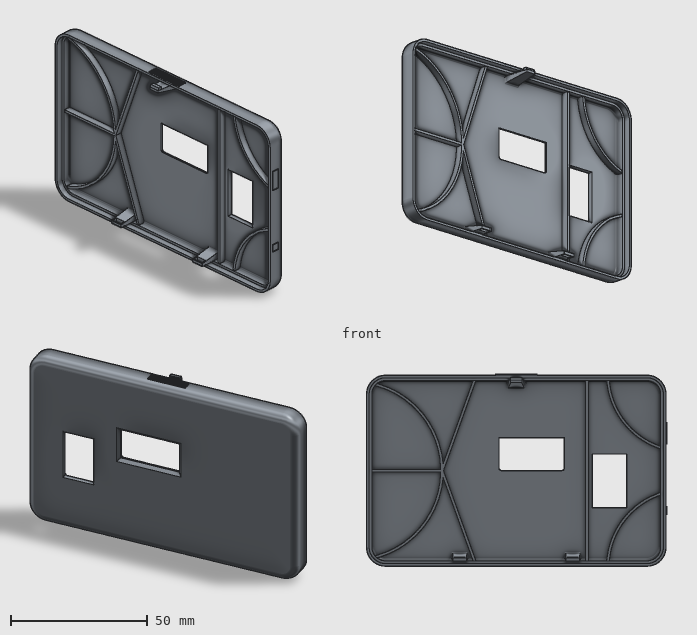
import cadquery as cq
import math


WIDTH = 109.7
HEIGHT = 70.0
DEPTH = 7.6
CORNER_RADIUS = 7.0
BACK_EDGE_RADIUS = 3.0
FLOOR_THICKNESS = 2.0
FLOOR_Y = DEPTH - FLOOR_THICKNESS
MID_FLOOR_Y = DEPTH - FLOOR_THICKNESS / 2
RIM_WALL = 1.0
INNER_WALL = 2.0
LEDGE_Y = 2.5
FLOOR_FILLET = 1.0

RIB_WIDTH = 1.0
RIB_TOP_Y = 2.9
LEFT_ARC_CENTER_X = -59.8
LEFT_ARC_RADIUS = 32.7
APEX_X = LEFT_ARC_CENTER_X + LEFT_ARC_RADIUS
BRANCH_END_X = -15.3
BRANCH_OVERRUN = 1.1
DIVIDER_X = 25.8
RIGHT_ARC_CENTER = (61.8, 35.3)
RIGHT_ARC_RADIUS = 28.4

DISPLAY_SIZE = (23.8, 12.0)
DISPLAY_CENTER = (5.6, 6.0)
DISPLAY_CORNER_RADIUS = 1.0
DISPLAY_LIP = 0.8
SIDE_WINDOW_SIZE = (12.5, 19.6)
SIDE_WINDOW_CENTER = (34.1, -3.7)

LATCH_TOP_Z = 33.1
LATCH_BASE = (5.7, 2.8)
LATCH_TIP = (4.1, 0.9)
LATCH_TIP_Y = -4.6
LATCH_FILLET = 1.0
BARB_HEIGHT = 1.0
BARB_START_Y = -2.9
BARB_BEVEL_DEPTH = 0.4
BARB_BEVEL_HEIGHT = 0.9

HOOK_X = 20.7
HOOK_BOTTOM_Z = -33.1
HOOK_BASE = (5.2, 2.9)
HOOK_TIP = (5.0, 1.2)
HOOK_TIP_Y = -3.1
HOOK_FILLET = 0.4
SLOT_WIDTH = 4.0
SLOT_FRONT_Y = -2.6
SLOT_REAR_Y = -1.0

RELIEF = 0.3
GRIP_LENGTH = 15.2
GRIP_BAR_WIDTH = 0.5
GRIP_PITCH = 1.0
GRIP_COUNT = 4
SIDE_PAD_Y = (1.1, 4.0)
SIDE_PAD_SPANS = ((9.8, 17.7), (-16.1, -13.1))


def front_plane(y):
    """XZ workplane at the given Y; positive extrusion runs toward -Y."""
    return cq.Workplane("XZ", origin=(0, y, 0))


def rounded_block(inset, y_rear, y_front):
    """Tray outline shrunk by an inset and extruded between two Y positions."""
    return (
        front_plane(y_rear)
        .rect(WIDTH - 2 * inset, HEIGHT - 2 * inset)
        .extrude(y_rear - y_front)
        .edges("|Y")
        .fillet(CORNER_RADIUS - inset)
    )


def box_between(x_span, y_span, z_span):
    """Axis-aligned box given by its limits."""
    size = [high - low for low, high in (x_span, y_span, z_span)]
    corner = cq.Vector(x_span[0], y_span[0], z_span[0])
    return cq.Workplane(cq.Solid.makeBox(*size, corner))


def make_tray():
    shell = rounded_block(0, DEPTH, 0).faces(">Y").edges().fillet(BACK_EDGE_RADIUS)
    cavity = rounded_block(INNER_WALL, FLOOR_Y, 0).faces(">Y").edges().fillet(FLOOR_FILLET)
    return shell.cut(cavity).cut(rounded_block(RIM_WALL, LEDGE_Y, 0))


def straight_rib(start, end):
    """Rib along a line between two (X, Z) points, rooted inside the floor."""
    dx = end[0] - start[0]
    dz = end[1] - start[1]
    middle = ((start[0] + end[0]) / 2, (start[1] + end[1]) / 2)
    return (
        front_plane(MID_FLOOR_Y)
        .center(*middle)
        .transformed(rotate=(0, 0, math.degrees(math.atan2(dz, dx))))
        .rect(math.hypot(dx, dz), RIB_WIDTH)
        .extrude(MID_FLOOR_Y - RIB_TOP_Y)
    )


def ring_rib(center, radius):
    """Full circular rib about an (X, Z) center, rooted inside the floor."""
    return (
        front_plane(MID_FLOOR_Y)
        .center(*center)
        .circle(radius + RIB_WIDTH / 2)
        .circle(radius - RIB_WIDTH / 2)
        .extrude(MID_FLOOR_Y - RIB_TOP_Y)
    )


def make_ribs():
    """All ribs, trimmed where they run into the tray wall."""
    wall_x = WIDTH / 2 - RIM_WALL
    wall_z = HEIGHT / 2 - INNER_WALL
    apex = (APEX_X, 0)
    ribs = ring_rib((LEFT_ARC_CENTER_X, 0), LEFT_ARC_RADIUS)
    ribs = ribs.union(straight_rib((-wall_x, 0), apex))
    ribs = ribs.union(straight_rib((DIVIDER_X, -wall_z), (DIVIDER_X, wall_z)))
    for side in (1, -1):
        branch_end = (
            APEX_X + BRANCH_OVERRUN * (BRANCH_END_X - APEX_X),
            side * BRANCH_OVERRUN * wall_z,
        )
        ribs = ribs.union(straight_rib(apex, branch_end))
        center = (RIGHT_ARC_CENTER[0], side * RIGHT_ARC_CENTER[1])
        ribs = ribs.union(ring_rib(center, RIGHT_ARC_RADIUS))
    return ribs.intersect(rounded_block(INNER_WALL, DEPTH, 0))


def cut_windows(body):
    display = (
        front_plane(DEPTH)
        .center(*DISPLAY_CENTER)
        .rect(*DISPLAY_SIZE)
        .extrude(FLOOR_THICKNESS)
        .edges("|Y and <Z")
        .fillet(DISPLAY_CORNER_RADIUS)
    )
    flare = FLOOR_THICKNESS - DISPLAY_LIP
    flared_part = (
        front_plane(FLOOR_Y + DISPLAY_LIP)
        .center(*DISPLAY_CENTER)
        .rect(*DISPLAY_SIZE)
        .workplane(offset=-flare)
        .rect(DISPLAY_SIZE[0] + 2 * flare, DISPLAY_SIZE[1] + 2 * flare)
        .loft()
    )
    side_window = (
        front_plane(DEPTH)
        .center(*SIDE_WINDOW_CENTER)
        .rect(*SIDE_WINDOW_SIZE)
        .extrude(FLOOR_THICKNESS)
    )
    return body.cut(display).cut(flared_part).cut(side_window)


def tapered_arm(x, outer_z, inward, base, tip, tip_y):
    """Arm from the floor to tip_y; its outer side stays flat and the others taper."""
    base_z = outer_z + inward * base[1] / 2
    tip_z = outer_z + inward * tip[1] / 2
    return (
        front_plane(FLOOR_Y)
        .center(x, base_z)
        .rect(*base)
        .workplane(offset=FLOOR_Y - tip_y)
        .center(0, tip_z - base_z)
        .rect(*tip)
        .loft()
    )


def filleted_arm(x, outer_z, inward, base, tip, tip_y, radius):
    """Tapered arm whose three free sides blend into a pad buried in the floor."""
    arm = tapered_arm(x, outer_z, inward, base, tip, tip_y)
    half_pad = base[0] / 2 + 2 * radius
    pad_z = sorted((outer_z, outer_z + inward * (base[1] + 2 * radius)))
    pad_y = (FLOOR_Y, MID_FLOOR_Y)
    pad = box_between((x - half_pad, x + half_pad), pad_y, pad_z)
    near = 0.1
    root_z = sorted((outer_z + inward * near, outer_z + inward * (base[1] + near)))
    root_edges = cq.selectors.BoxSelector(
        (x - base[0] / 2 - near, FLOOR_Y - near, root_z[0]),
        (x + base[0] / 2 + near, FLOOR_Y + near, root_z[1]),
    )
    return arm.union(pad).edges(root_edges).fillet(radius)


def make_latch():
    arm = filleted_arm(0, LATCH_TOP_Z, -1, LATCH_BASE, LATCH_TIP, LATCH_TIP_Y, LATCH_FILLET)
    barb_top_z = LATCH_TOP_Z + BARB_HEIGHT
    barb_base_z = LATCH_TOP_Z - LATCH_TIP[1] / 2
    barb_profile = [
        (BARB_START_Y, barb_base_z),
        (BARB_START_Y, barb_top_z),
        (LATCH_TIP_Y + BARB_BEVEL_DEPTH, barb_top_z),
        (LATCH_TIP_Y, barb_top_z - BARB_BEVEL_HEIGHT),
        (LATCH_TIP_Y, barb_base_z),
    ]
    barb = cq.Workplane("YZ").polyline(barb_profile).close().extrude(LATCH_TIP[0] / 2, both=True)
    return arm.union(barb)


def make_hook(x):
    arm = filleted_arm(x, HOOK_BOTTOM_Z, 1, HOOK_BASE, HOOK_TIP, HOOK_TIP_Y, HOOK_FILLET)
    slot = box_between(
        (x - SLOT_WIDTH / 2, x + SLOT_WIDTH / 2),
        (SLOT_FRONT_Y, SLOT_REAR_Y),
        (HOOK_BOTTOM_Z - HOOK_BASE[1], HOOK_BOTTOM_Z + HOOK_BASE[1]),
    )
    return arm.cut(slot)


def add_raised_marks(body):
    top_z = HEIGHT / 2
    for index in range(GRIP_COUNT):
        bar_y = GRIP_PITCH * (index + 1)
        bar = box_between(
            (-GRIP_LENGTH / 2, GRIP_LENGTH / 2),
            (bar_y - GRIP_BAR_WIDTH / 2, bar_y + GRIP_BAR_WIDTH / 2),
            (top_z - RIM_WALL / 2, top_z + RELIEF),
        )
        body = body.union(bar)
    side_x = WIDTH / 2
    for z_span in SIDE_PAD_SPANS:
        pad = box_between((side_x - RIM_WALL / 2, side_x + RELIEF), SIDE_PAD_Y, z_span)
        body = body.union(pad)
    return body


result = cut_windows(make_tray().union(make_ribs()))
result = result.union(make_latch())
for hook_x in (-HOOK_X, HOOK_X):
    result = result.union(make_hook(hook_x))
result = add_raised_marks(result)